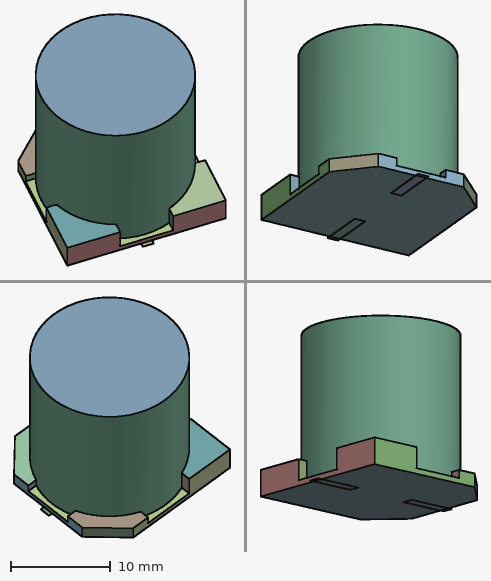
import cadquery as cq

overall_length = 18.0
overall_height = 16.5
base_width = 17.1
floor_height = 0.58
low_corner_height = 1.42
high_corner_height = 2.77
corner_chamfer = 3.6
can_diameter = 16.0
lead_width = 1.2
lead_thickness = 0.01
lead_length = 5.4

notch_width = base_width / 3
corner_size = (base_width - notch_width) / 2
corner_offset = (base_width - corner_size) / 2
lead_offset = (overall_length - lead_length) / 2


def make_block(length, width, height, x, y):
    """Box standing on Z = 0 and centred on (x, y)."""
    block = cq.Workplane("XY").box(length, width, height, centered=(True, True, False))
    return block.translate((x, y, 0))


def make_can():
    """Cylinder from the floor of the base to the top of the part."""
    can_height = overall_height - floor_height
    return cq.Workplane("XY").workplane(offset=floor_height).circle(can_diameter / 2).extrude(can_height)


def make_lead(side):
    """Flat strip, flush with the underside; side is -1 or +1 along X."""
    return make_block(lead_length, lead_width, lead_thickness, side * lead_offset, 0)


def make_base(can, leads):
    """Floor plate with four raised corners, recessed for the can and the leads."""
    base = make_block(base_width, base_width, floor_height, 0, 0)
    for x_side, corner_height in ((-1, low_corner_height), (1, high_corner_height)):
        for y_side in (-1, 1):
            x = x_side * corner_offset
            y = y_side * corner_offset
            base = base.union(make_block(corner_size, corner_size, corner_height, x, y))

    edge = base_width / 2
    for y_side in (-1, 1):
        corner = [
            (-edge, y_side * edge),
            (-edge + corner_chamfer, y_side * edge),
            (-edge, y_side * (edge - corner_chamfer)),
        ]
        wedge = cq.Workplane("XY").polyline(corner).close().extrude(low_corner_height)
        base = base.cut(wedge)

    base = base.cut(can)
    for lead in leads:
        base = base.cut(lead)
    return base


can = make_can()
leads = [make_lead(side) for side in (-1, 1)]
base = make_base(can, leads)

result = cq.Compound.makeCompound([base.solids().val(), can.val(), *[lead.val() for lead in leads]])